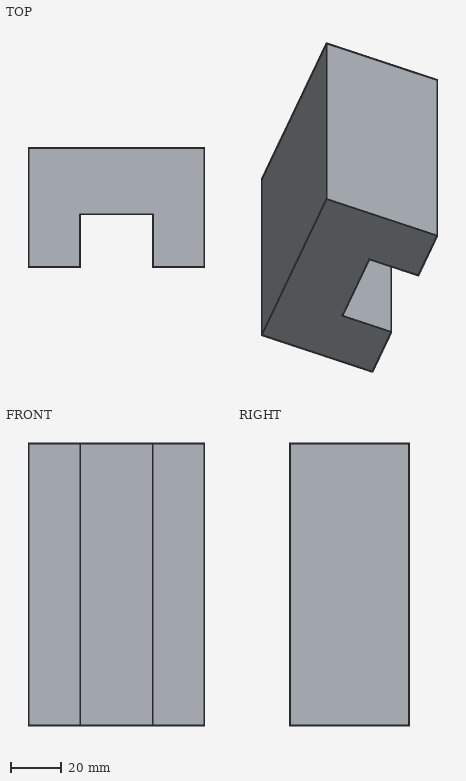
import cadquery as cq

width = 70.0
depth = 47.5
height = 112.4

channel_width = 29.0
channel_depth = 21.0


def make_block():
    """Plain block centred on the origin in X and Y, standing on Z = 0."""
    return cq.Workplane("XY").box(width, depth, height, centered=(True, True, False))


def make_channel():
    """Rectangular volume removed from the middle of the -Y face."""
    channel_center_y = (channel_depth - depth) / 2
    return (
        cq.Workplane("XY")
        .center(0, channel_center_y)
        .rect(channel_width, channel_depth)
        .extrude(height)
    )


result = make_block().cut(make_channel())